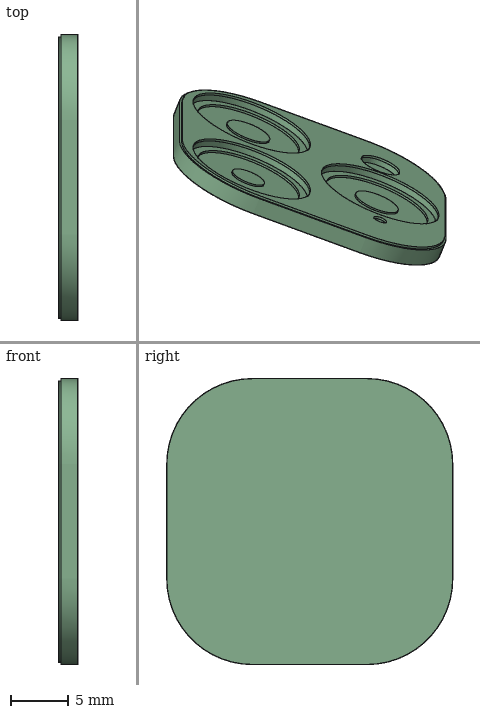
import cadquery as cq


side = 25.0
total_thickness = 1.7
corner_radius = 7.5

cover_thickness = 0.2
cover_inset = 0.2

lens_pocket_depth = 0.75
small_pocket_depth = 0.7
glass_setback = 0.2
glass_thickness = 0.3
lens_proud = 0.15

lens_pocket_diameter = 11.0
glass_diameter = 9.5
wide_lens_diameter = 4.0
small_lens_diameter = 3.0
flash_diameter = 3.59
microphone_diameter = 1.2

upper_lens_center = (5.8, 5.95)
lower_lens_center = (5.8, -6.05)
side_lens_center = (-6.24, -0.24)
flash_center = (-6.27, 7.27)
microphone_center = (-6.24, -7.0)

lenses = [
    (upper_lens_center, wide_lens_diameter),
    (lower_lens_center, small_lens_diameter),
    (side_lens_center, wide_lens_diameter),
]
outside_x = -total_thickness / 2
frame_x = outside_x + cover_thickness
lens_pocket_floor_x = outside_x + lens_pocket_depth
small_pocket_floor_x = outside_x + small_pocket_depth
glass_x = lens_pocket_floor_x + glass_setback
glass_back_x = glass_x + glass_thickness
lens_x = glass_x - lens_proud
back_x = total_thickness / 2

pockets = [(center, lens_pocket_diameter, lens_pocket_floor_x) for center, _ in lenses]
pockets.append((flash_center, flash_diameter, small_pocket_floor_x))
pockets.append((microphone_center, microphone_diameter, small_pocket_floor_x))


def disc(center, diameter, x_start, x_end):
    """Round disc along X, centered at (Y, Z)."""
    return (
        cq.Workplane("YZ", origin=(x_start, 0, 0))
        .center(*center)
        .circle(diameter / 2)
        .extrude(x_end - x_start)
    )


def rounded_plate(inset, x_start, x_end):
    """Square plate with rounded corners, drawn in from the outer outline by the inset."""
    width = side - 2 * inset
    return (
        cq.Workplane("YZ", origin=(x_start, 0, 0))
        .rect(width, width)
        .extrude(x_end - x_start)
        .edges("|X")
        .fillet(corner_radius - inset)
    )


def make_cover():
    """Thin cover plate with an opening over every pocket."""
    cover = rounded_plate(cover_inset, outside_x, frame_x)
    for center, diameter, _ in pockets:
        cover = cover.cut(disc(center, diameter, outside_x, frame_x))
    return cover


def make_frame():
    """Frame with blind pockets and a seat for each lens glass in the lens pocket floors."""
    frame = rounded_plate(0, frame_x, back_x)
    for center, diameter, floor_x in pockets:
        frame = frame.cut(disc(center, diameter, frame_x, floor_x))
    for center, _ in lenses:
        frame = frame.cut(disc(center, glass_diameter, lens_pocket_floor_x, glass_back_x))
    return frame


def make_lens_glass(center, lens_diameter):
    """Glass disc, set back from the lens pocket floor, with a hole for its lens."""
    glass = disc(center, glass_diameter, glass_x, glass_back_x)
    return glass.cut(disc(center, lens_diameter, glass_x, glass_back_x))


def make_lens(center, lens_diameter):
    """Lens that fills the hole in the glass and stands proud of it."""
    return disc(center, lens_diameter, lens_x, glass_back_x)


cover = make_cover()
frame = make_frame()
bodies = [cover.val(), frame.val()]
for center, lens_diameter in lenses:
    bodies.append(make_lens_glass(center, lens_diameter).val())
    bodies.append(make_lens(center, lens_diameter).val())

result = cq.Compound.makeCompound(bodies)